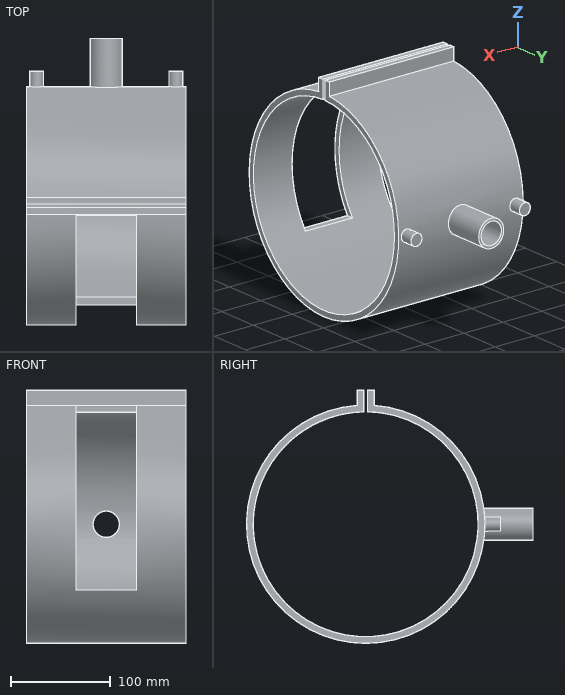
import cadquery as cq

band_width = 160.0
outer_radius = 119.5
wall = 7.0
inner_radius = outer_radius - wall

split_gap = 3.5
flange_top = 134.3
flange_face = split_gap / 2 + wall

window_width = 60.3
window_bottom = -66.0
window_lip = 1.0

pipe_diameter = 32.0
bore_diameter = 26.0
pipe_end = 287 - outer_radius
pin_diameter = 14.0
pin_end = 134.9
pin_offset = 69.7
embed_start = inner_radius + wall / 2


def block(x_size, y_min, y_max, z_min, z_max):
    """Box centred on X between the given Y and Z limits."""
    size = (x_size, y_max - y_min, z_max - z_min)
    return cq.Workplane("XY").box(*size, centered=(True, False, False)).translate((0, y_min, z_min))


def rod(diameter, x, y_start, y_end):
    """Cylinder along +Y at height zero."""
    axis_start = cq.Vector(x, y_start, 0)
    solid = cq.Solid.makeCylinder(diameter / 2, y_end - y_start, axis_start, cq.Vector(0, 1, 0))
    return cq.Workplane(obj=solid)


def x_cylinder(radius):
    """Cylinder along X, as long as the band is wide."""
    return cq.Workplane("YZ").circle(radius).extrude(band_width / 2, both=True)


band = x_cylinder(outer_radius)
band = band.union(block(band_width, -flange_face, flange_face, 0, flange_top))
band = band.cut(x_cylinder(inner_radius))
band = band.cut(block(band_width, -split_gap / 2, split_gap / 2, 0, flange_top))

band = band.cut(block(window_width, -outer_radius, -flange_face - window_lip, window_bottom, outer_radius))

for pin_x in (-pin_offset, pin_offset):
    band = band.union(rod(pin_diameter, pin_x, embed_start, pin_end))
band = band.union(rod(pipe_diameter, 0, embed_start, pipe_end))

result = band.cut(rod(bore_diameter, 0, 0, pipe_end))